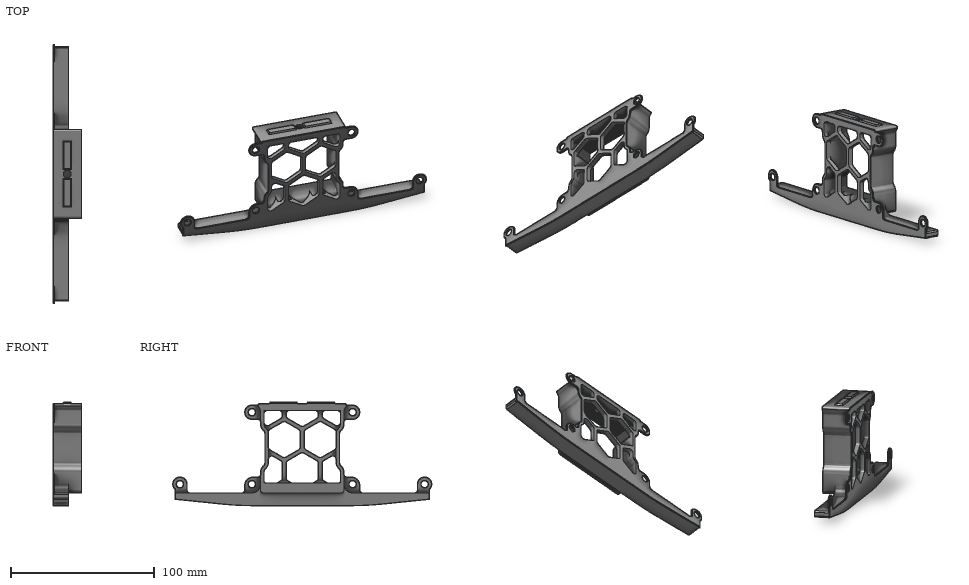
import cadquery as cq
import math

plate_thickness = 1.0
plate_chamfer = 0.5
web_thickness = 3.4
rail_depth = 11.0
box_depth = 20.0

lug_radius = 5.0
screw_diameter = 4.8
screw_mouth_diameter = 5.4
lug_blend = 2.0
lower_lug_corner = 6.0
inner_lug_y = 35.0
outer_lug_y = 85.0
lower_lug_z = 15.0
upper_lug_z = 65.0
screw_head_clearance = 6.0

box_half_width = inner_lug_y - screw_head_clearance
box_bottom = lower_lug_z - screw_head_clearance
box_top = 71.0
box_middle_z = (lower_lug_z + upper_lug_z) / 2
box_bottom_rounding = 2.0
cap_half_width = 31.0
step_outer_radius = 6.0
step_inner_radius = 3.0
waist_half_width = 26.0
step_inset = box_half_width - waist_half_width
step_angle = math.acos(1 - step_inset / (step_outer_radius + step_inner_radius))
waist_half_height = 10.0

wall = 2.5
cavity_floor = 16.0
cavity_top = 66.2
cavity_rounding = 1.0
floor_lip_radius = 8.0

cell_pitch = 25.0
rib_width = 2.8
window_rounding = 2.4
middle_row_z = 46.0
row_pitch = cell_pitch * math.cos(math.radians(30))

rail_half_length = 88.4
rail_top = box_bottom
rail_end_bottom = 4.5
rail_slope_start = 45.0
rail_bend_radius = 220.0
rail_end_chamfer = 1.0

ridge_x = box_depth / 2
ridge_width = 6.0
ridge_height = 1.0
ridge_bevel = 0.7
ridge_start_y = 3.0
ridge_end_y = 23.0
top_hole_diameter = 5.4


def both_sides(half):
    """Join a +Y half with its mirror image across the XZ plane."""
    return half.union(half.mirror("XZ")).clean()


def block(y_min, y_max, z_min, z_max, depth):
    return (
        cq.Workplane("YZ")
        .center((y_min + y_max) / 2, (z_min + z_max) / 2)
        .rect(y_max - y_min, z_max - z_min)
        .extrude(depth)
    )


def disc(y, z, radius, depth):
    return cq.Workplane("YZ").center(y, z).circle(radius).extrude(depth)


def waisted_side(sketch, inset):
    """Run down the +Y side through the waist, moved inwards by the given inset."""
    outer_radius = step_outer_radius - inset
    inner_radius = step_inner_radius + inset
    wide = box_half_width - inset
    narrow = waist_half_width - inset
    joint_y = wide - outer_radius * (1 - math.cos(step_angle))
    joint_drop = inner_radius * math.sin(step_angle)
    end_drop = joint_drop + outer_radius * math.sin(step_angle)
    upper = box_middle_z + waist_half_height
    lower = box_middle_z - waist_half_height
    return (
        sketch.lineTo(wide, upper + end_drop)
        .radiusArc((joint_y, upper + joint_drop), outer_radius)
        .radiusArc((narrow, upper), -inner_radius)
        .lineTo(narrow, lower)
        .radiusArc((joint_y, lower - joint_drop), -inner_radius)
        .radiusArc((wide, lower - end_drop), outer_radius)
    )


def box_solid(depth):
    clearance_top = upper_lug_z + math.sqrt(
        screw_head_clearance**2 - (inner_lug_y - cap_half_width) ** 2
    )
    cap_rounding = box_top - clearance_top
    sketch = (
        cq.Workplane("YZ")
        .moveTo(0, box_top)
        .lineTo(cap_half_width - cap_rounding, box_top)
        .radiusArc((cap_half_width, clearance_top), cap_rounding)
        .radiusArc((box_half_width, upper_lug_z), -screw_head_clearance)
    )
    sketch = waisted_side(sketch, 0)
    half = (
        sketch.lineTo(box_half_width, box_bottom + box_bottom_rounding)
        .radiusArc((box_half_width - box_bottom_rounding, box_bottom), box_bottom_rounding)
        .lineTo(0, box_bottom)
        .close()
        .extrude(depth)
    )
    return both_sides(half)


def rail_solid(depth):
    """Straight-topped rail whose underside rises towards both ends."""
    slope = math.atan2(rail_end_bottom, rail_half_length - rail_slope_start)
    tangent = rail_bend_radius * math.tan(slope / 2)
    bend_end = (
        rail_slope_start + tangent * math.cos(slope),
        tangent * math.sin(slope),
    )
    half = (
        cq.Workplane("YZ")
        .moveTo(0, 0)
        .lineTo(rail_slope_start - tangent, 0)
        .radiusArc(bend_end, -rail_bend_radius)
        .lineTo(rail_half_length, rail_end_bottom)
        .lineTo(rail_half_length, rail_top)
        .lineTo(0, rail_top)
        .close()
        .extrude(depth)
    )
    return both_sides(half)


def screw_head_gusset():
    """Fill between box side and rail, hollowed for a screw head."""
    fill = block(0, inner_lug_y, rail_top, lower_lug_z, rail_depth)
    head = disc(inner_lug_y, lower_lug_z, screw_head_clearance, rail_depth)
    return both_sides(fill.cut(head))


def plate_solid():
    """Thin front plate: box and rail outline with six lugs, front edge chamfered."""
    depth = plate_thickness
    r = lug_radius
    lower_lug = block(0, inner_lug_y + r, rail_top, lower_lug_z + r, depth)
    lower_lug = lower_lug.edges("|X and >Y and >Z").fillet(lower_lug_corner)
    lugs = (
        disc(inner_lug_y, upper_lug_z, r, depth)
        .union(block(0, inner_lug_y, upper_lug_z - r, upper_lug_z + r, depth))
        .union(lower_lug)
        .union(disc(outer_lug_y, lower_lug_z, r, depth))
        .union(block(outer_lug_y - r, rail_half_length, rail_end_bottom + 1, lower_lug_z, depth))
    )
    plate = box_solid(depth).union(rail_solid(depth)).union(both_sides(lugs)).clean()
    inside_corners = [
        (box_half_width, upper_lug_z - r),
        (box_half_width, lower_lug_z + r),
        (inner_lug_y + r, rail_top),
        (outer_lug_y - r, rail_top),
    ]
    for y, z in inside_corners:
        for side in (1, -1):
            corner = cq.selectors.NearestToPointSelector((depth / 2, side * y, z))
            plate = plate.edges("|X").edges(corner).fillet(lug_blend)
    return plate.faces("<X").edges().chamfer(plate_chamfer)


def cavity_outline(floor):
    """Closed YZ outline one wall thickness inside the box, down to the given floor."""
    wide = box_half_width - wall
    sketch = cq.Workplane("YZ").moveTo(0, cavity_top).lineTo(wide, cavity_top)
    return waisted_side(sketch, wall).lineTo(wide, floor).lineTo(0, floor).close()


def duct():
    """Open space behind the web; its floor rolls down over a lip towards the web."""
    lip_z = cavity_floor - floor_lip_radius
    side_profile = (
        cq.Workplane("XZ")
        .moveTo(box_depth, cavity_top)
        .lineTo(box_depth, cavity_floor)
        .lineTo(rail_depth, cavity_floor)
        .radiusArc((rail_depth - floor_lip_radius, lip_z), -floor_lip_radius)
        .lineTo(rail_depth - floor_lip_radius, cavity_top)
        .close()
        .extrude(box_half_width, both=True)
    )
    space = both_sides(cavity_outline(0).extrude(box_depth)).intersect(side_profile)
    for side in (1, -1):
        corner = cq.selectors.NearestToPointSelector((box_depth, side * box_half_width, cavity_floor))
        space = space.edges("|X").edges(corner).fillet(cavity_rounding)
    return space


def window(y, z, clip):
    """One honeycomb cell, kept inside the clip outline and rounded at every corner."""
    across_corners = (cell_pitch - rib_width) / math.cos(math.radians(30))
    cell = (
        cq.Workplane("YZ")
        .center(y, z)
        .transformed(rotate=(0, 0, 90))
        .polygon(6, across_corners)
        .extrude(rail_depth)
        .intersect(clip)
    )
    sharp = cell.faces("<X").wires().val()
    rounded = sharp.offset2D(-window_rounding)[0].offset2D(window_rounding)[0]
    return cq.Workplane("YZ").add(rounded).toPending().extrude(rail_depth)


def windows():
    """All cells joined, reaching back to the rear face of the rail."""
    clip = both_sides(cavity_outline(0).extrude(rail_depth))
    centres = [(side * cell_pitch / 2, middle_row_z) for side in (-1, 1)]
    for row_z in (middle_row_z - row_pitch, middle_row_z + row_pitch):
        centres += [(column * cell_pitch, row_z) for column in (-1, 0, 1)]
    cells = cq.Workplane("YZ")
    for y, z in centres:
        cells = cells.add(window(y, z, clip))
    return cells.combine()


def hollow():
    """Space behind the web above the floor, plus the windows running down to the lip."""
    space = duct()
    web = block(-box_half_width, box_half_width, 0, box_top, web_thickness)
    behind_web = block(-box_half_width, box_half_width, cavity_floor, box_top, box_depth).cut(web)
    behind_web = behind_web.edges("|Y and <X and <Z").fillet(cavity_rounding)
    return space.intersect(behind_web).union(windows().intersect(space.union(web)))


def ridge(side):
    length = ridge_end_y - ridge_start_y
    return (
        cq.Workplane("XY", origin=(ridge_x, side * (ridge_start_y + length / 2), box_top))
        .rect(ridge_width, length)
        .workplane(offset=ridge_height)
        .rect(ridge_width - 2 * ridge_bevel, length - 2 * ridge_bevel)
        .loft(ruled=True)
    )


def screw_holes():
    places = [(inner_lug_y, upper_lug_z), (inner_lug_y, lower_lug_z), (outer_lug_y, lower_lug_z)]
    points = [(side * y, z) for y, z in places for side in (-1, 1)]
    shafts = cq.Workplane("YZ").pushPoints(points).circle(screw_diameter / 2).extrude(plate_thickness)
    mouth_depth = (screw_mouth_diameter - screw_diameter) / 2
    mouths = (
        cq.Workplane("YZ")
        .pushPoints(points)
        .circle(screw_mouth_diameter / 2)
        .extrude(mouth_depth, taper=45)
    )
    return shafts.union(mouths)


def top_hole():
    return (
        cq.Workplane("XY", origin=(ridge_x, 0, cavity_top))
        .circle(top_hole_diameter / 2)
        .extrude(box_top - cavity_top)
    )


rail = rail_solid(rail_depth).edges("|X and (>Y or <Y)").chamfer(rail_end_chamfer)
body = box_solid(box_depth).union(rail).union(screw_head_gusset())
behind_plate = cq.Workplane("YZ", origin=(plate_thickness, 0, 0)).rect(400, 400).extrude(box_depth)
body = body.intersect(behind_plate).union(plate_solid())
body = body.union(ridge(1)).union(ridge(-1))
result = body.cut(hollow()).cut(screw_holes()).cut(top_hole())